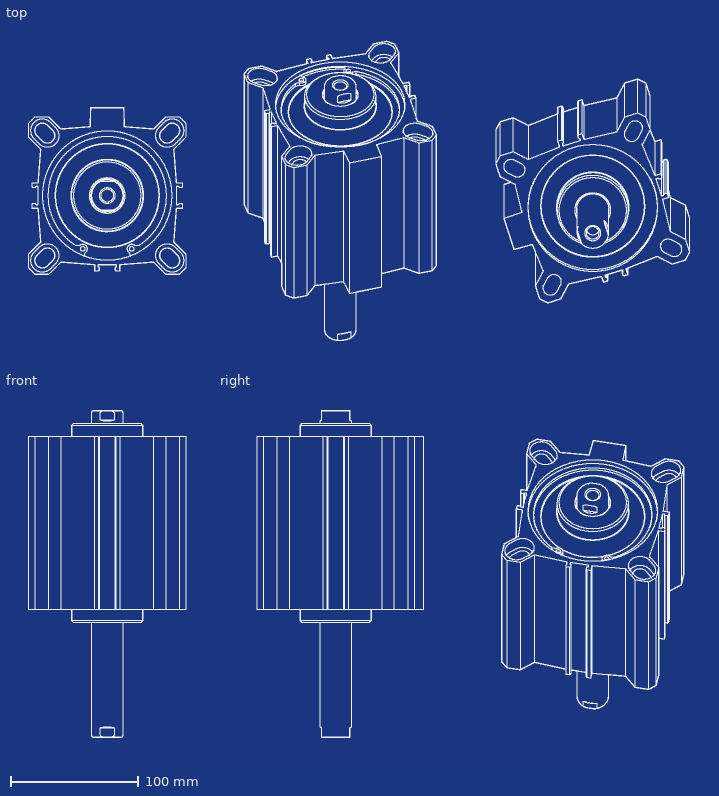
import cadquery as cq
import math


tube_height = 136.2
corner_reach = 62.0
corner_chamfer = 5.1
post_flat_inner = 46.0
wall_corner = 52.5
wall_middle = 54.5
post_root = post_flat_inner - (corner_reach - wall_corner)
bore_diameter = 100.0
seat_diameter = 101.8
ring_groove_diameter = 106.1

rail_outer = 59.4
rail_half_span = 10.0
rail_neck = 2.8
rail_lip = 3.9
rail_lip_height = 3.3
rail_lip_chamfer = 0.8

block_outer = 69.1
block_root_half_width = 13.5
block_tip_half_width = 13.0

slot_offset = 49.0
slot_end_spacing = 5.7
slot_width = 11.5
counterbore_width = 18.2
counterbore_depth = 11.3

boss_diameter = 56.0
boss_projection = 10.3
boss_chamfer = 1.5
boss_foot_flat = 0.5
ledge_inner_diameter = 82.0
cone_foot_diameter = 81.2
cone_top_depth = 1.8
cone_foot_depth = 8.2
ledge_depth = 7.5
cover_depth = 33.5
rod_hole_diameter = 25.7
rod_hole_mouth_diameter = 28.0
rod_hole_mouth_depth = 2.5

ring_inner_diameter = 93.0
ring_thickness = 2.8
ring_gap_half_angle = 21.0
lug_x = 19.3
lug_y = -42.0
lug_radius = 3.5
lug_hole_diameter = 3.5
lug_web_y = -39.3

rod_diameter = 25.0
rod_top_projection = 20.3
rod_length = 257.0
rod_edge_radius = 1.8
flat_across = 22.4
flat_length = 7.5
flat_runout = 0.8
end_hole_diameter = 10.0
end_hole_mouth_diameter = 12.3
end_hole_depth = 18.0
drill_point_angle = 118.0


def cylinder(diameter, z_low, z_high):
    return cq.Workplane("XY").workplane(offset=z_low).circle(diameter / 2).extrude(z_high - z_low)


def revolve_profile(points):
    """Revolve (radius, z) points about the Z axis."""
    return cq.Workplane("XZ").polyline(points).close().revolve(360, (0, 0, 0), (0, 1, 0))


def tube_outline():
    quarter = [
        (wall_middle, rail_half_span),
        (wall_corner, post_root),
        (corner_reach, post_flat_inner),
        (corner_reach, corner_reach - corner_chamfer),
        (corner_reach - corner_chamfer, corner_reach),
        (post_flat_inner, corner_reach),
        (post_root, wall_corner),
        (rail_half_span, wall_middle),
    ]
    points = []
    for turn in range(4):
        angle = math.radians(90 * turn)
        for x, y in quarter:
            points.append((x * math.cos(angle) - y * math.sin(angle),
                           x * math.sin(angle) + y * math.cos(angle)))
    return cq.Workplane("XY").polyline(points).close().extrude(tube_height)


def rail_pair():
    """Two hooked rails on the +X wall, their lips facing each other."""
    lip_y = rail_half_span - rail_lip
    lip_inner = rail_outer - rail_lip_height
    neck_y = rail_half_span - rail_neck
    rail = (
        cq.Workplane("XY")
        .polyline([
            (wall_corner, rail_half_span),
            (rail_outer, rail_half_span),
            (rail_outer, lip_y + rail_lip_chamfer),
            (rail_outer - rail_lip_chamfer, lip_y),
            (lip_inner + rail_lip_chamfer, lip_y),
            (lip_inner, lip_y + rail_lip_chamfer),
            (lip_inner, neck_y),
            (wall_corner, neck_y),
        ])
        .close()
        .extrude(tube_height)
    )
    return rail.union(rail.mirror("XZ"))


def port_block():
    return (
        cq.Workplane("XY")
        .polyline([
            (-block_root_half_width, wall_corner),
            (-block_tip_half_width, block_outer),
            (block_tip_half_width, block_outer),
            (block_root_half_width, wall_corner),
        ])
        .close()
        .extrude(tube_height)
    )


def corner_slots(width, z_low):
    """Cutters for radial slots in all four posts, from z_low up to the tube top."""
    cutters = cq.Workplane("XY")
    for turn in range(4):
        slot = (
            cq.Workplane("XY")
            .workplane(offset=z_low)
            .center(slot_offset, slot_offset)
            .slot2D(slot_end_spacing + width, width, 45)
            .extrude(tube_height - z_low)
            .rotate((0, 0, 0), (0, 0, 1), 90 * turn)
        )
        cutters = cutters.add(slot)
    return cutters.combine()


def make_tube():
    tube = tube_outline()
    for rail_angle in (0, 180, 270):
        tube = tube.union(rail_pair().rotate((0, 0, 0), (0, 0, 1), rail_angle))
    tube = tube.union(port_block())
    tube = tube.cut(cylinder(bore_diameter, 0, tube_height))
    tube = tube.cut(cylinder(seat_diameter, 0, cover_depth))
    tube = tube.cut(cylinder(seat_diameter, tube_height - cover_depth, tube_height))
    ring_low = tube_height - ledge_depth
    tube = tube.cut(cylinder(ring_groove_diameter, ring_low, ring_low + ring_thickness))
    tube = tube.cut(corner_slots(slot_width, 0))
    return tube.cut(corner_slots(counterbore_width, tube_height - counterbore_depth))


def make_cover():
    """Upper cover: disc with a flat ledge, a conical shoulder and a central boss."""
    boss_radius = boss_diameter / 2
    hole_radius = rod_hole_diameter / 2
    mouth_radius = rod_hole_mouth_diameter / 2
    boss_top = tube_height + boss_projection
    return revolve_profile([
        (hole_radius, tube_height - cover_depth),
        (seat_diameter / 2, tube_height - cover_depth),
        (seat_diameter / 2, tube_height - ledge_depth),
        (ledge_inner_diameter / 2, tube_height - ledge_depth),
        (cone_foot_diameter / 2, tube_height - cone_foot_depth),
        (boss_radius + boss_foot_flat, tube_height - cone_top_depth),
        (boss_radius, tube_height - cone_top_depth),
        (boss_radius, boss_top - boss_chamfer),
        (boss_radius - boss_chamfer, boss_top),
        (mouth_radius, boss_top),
        (mouth_radius, boss_top - rod_hole_mouth_depth),
        (hole_radius, boss_top - rod_hole_mouth_depth),
    ])


def make_ring():
    """Open retaining ring with a drilled lug on each side of its gap."""
    z_low = tube_height - ledge_depth
    z_high = z_low + ring_thickness
    disc = cylinder(ring_groove_diameter, z_low, z_high)
    ring = disc.cut(cylinder(ring_inner_diameter, z_low, z_high))
    gap_y = -ring_groove_diameter
    gap_x = ring_groove_diameter * math.tan(math.radians(ring_gap_half_angle))
    gap = (
        cq.Workplane("XY")
        .workplane(offset=z_low)
        .polyline([(0, 0), (gap_x, gap_y), (-gap_x, gap_y)])
        .close()
        .extrude(ring_thickness)
    )
    ring = ring.cut(gap)
    ring_inner_radius = ring_inner_diameter / 2
    lug_root_x = math.sqrt(ring_inner_radius ** 2 - lug_web_y ** 2)
    for side in (-1, 1):
        base = cq.Workplane("XY").workplane(offset=z_low)
        lug = base.center(side * lug_x, lug_y).circle(lug_radius).extrude(ring_thickness)
        web = (
            base.polyline([
                (side * lug_x, lug_web_y),
                (side * lug_root_x, lug_web_y),
                (side * lug_x, lug_y - lug_radius),
            ])
            .close()
            .extrude(ring_thickness)
        )
        hole = base.center(side * lug_x, lug_y).circle(lug_hole_diameter / 2).extrude(ring_thickness)
        ring = ring.union(lug.union(web).intersect(disc)).cut(hole)
    return ring


def rod_end_cutters(rod_top):
    """Wrench flats and the drilled, countersunk hole of the upper rod end."""
    rod_radius = rod_diameter / 2
    flat_y = flat_across / 2
    flat_foot = rod_top - flat_length
    flat = (
        cq.Workplane("YZ")
        .polyline([
            (flat_y, rod_top),
            (flat_y, flat_foot),
            (rod_radius, flat_foot - flat_runout),
            (rod_radius, rod_top),
        ])
        .close()
        .extrude(rod_radius, both=True)
    )
    hole_radius = end_hole_diameter / 2
    mouth_radius = end_hole_mouth_diameter / 2
    point_height = hole_radius / math.tan(math.radians(drill_point_angle / 2))
    hole = revolve_profile([
        (0, rod_top),
        (mouth_radius, rod_top),
        (hole_radius, rod_top - (mouth_radius - hole_radius)),
        (hole_radius, rod_top - end_hole_depth),
        (0, rod_top - end_hole_depth - point_height),
    ])
    return flat.union(flat.mirror("XZ")).union(hole)


def make_rod():
    rod_top = tube_height + rod_top_projection
    rod_middle = rod_top - rod_length / 2
    rod = cylinder(rod_diameter, rod_top - rod_length, rod_top)
    rod = rod.faces("<Z or >Z").fillet(rod_edge_radius)
    cutters = rod_end_cutters(rod_top)
    rod = rod.cut(cutters)
    return rod.cut(cutters.mirror("XY", (0, 0, rod_middle)))


tube = make_tube()
upper_cover = make_cover()
lower_cover = upper_cover.mirror("XY", (0, 0, tube_height / 2))
retaining_ring = make_ring()
rod = make_rod()

result = cq.Compound.makeCompound([
    tube.val(),
    upper_cover.val(),
    lower_cover.val(),
    retaining_ring.val(),
    rod.val(),
])